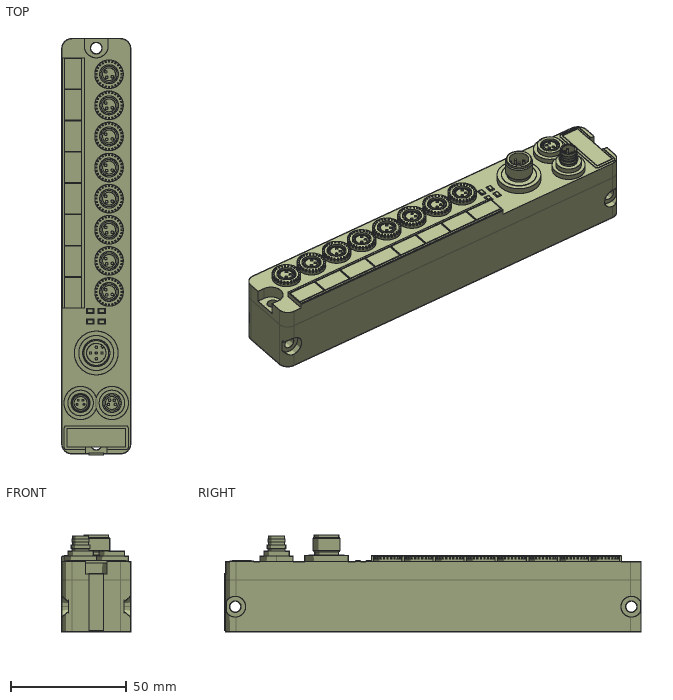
import cadquery as cq
import math

width = 30.0
length = 180.33
height = 30.5
corner_radius = 4.5
seam_height = 22.4
total_height = 42.1
overlap = 0.5
clearance = 1.0

half_width = width / 2
half_length = length / 2

hole_inset = 4.2
hole_y = half_length - hole_inset
top_hole_diameter = 4.9
notch_inset = 3.2
notch_floor = 25.0
far_notch_width = 10.4
near_notch_width = 9.4
side_hole_diameter = 4.8
side_hole_height = 10.9
side_bore_diameter = 9.0
side_bore_depth = 2.9

tab_width = 6.3
tab_proud = 0.5
tab_back = 0.4
tab_bottom = 0.5
tab_top = 25.2

plate_far_y = -77.95
plate_near_y = -88.3
plate_half_width = 13.9
plate_rim = 1.1
plate_corner_radius = 1.0
plate_rim_top = height + 0.25
plate_top = height + 0.45
plate_underside = 29.8

port_count = 8
port_pitch = 13.5
port_x = 5.55
first_port_y = 74.65
strip_end_margin = 0.3
strip_length = port_count * port_pitch + 2 * strip_end_margin
strip_center_y = first_port_y - (port_count - 1) * port_pitch / 2
strip_right_x = -5.2
strip_top = 32.8
strip_edge_chamfer = 0.3
label_left_x = -13.8
label_right_x = -6.3
label_gap = 0.3
label_top = 33.1

port_radius = 6.2
port_face_radius = 5.3
port_top = 32.7
knurl_count = 24
knurl_width = 0.45
knurl_depth = 1.0
socket_radius = 4.1
socket_depth = 5.0
socket_ledge_radius = 3.5
socket_ledge_depth = 1.0
insert_radius = 2.8
insert_recess = 0.4
contact_hole_diameter = 1.1
contact_hole_depth = 4.0
three_contacts = [(-1.4, 1.0), (1.4, -1.1), (-1.0, -1.3)]
four_contacts = [(-1.5, -0.6), (1.5, -0.6), (-1.0, 1.2), (1.0, 1.2)]

light_columns = (-2.6, 2.4)
light_rows = (-28.1, -32.7)
light_width = 3.2
light_length = 2.3
light_rise = 0.5
light_chamfer = 0.4

power_y = -46.35
power_flange_radius = 9.5
power_seat_radius = 7.6
power_flange_top = 33.2
power_seat_top = 33.4
power_neck_radius = 5.2
power_shell_radius = 5.9
power_tip_radius = 5.4
power_shell_bottom = 35.3
power_shell_chamfer = power_shell_radius - power_neck_radius
power_shell_top = 40.5
power_bore_radius = 4.2
power_bore_floor = 34.0
power_key_width = 1.0
power_key_length = 0.8
power_key_angle = 45.0
power_pin_radius = 0.5
power_outer_pin_count = 4
power_pin_circle = 2.5
power_pin_top = 40.0

bus_x = 6.8
bus_y = -68.05
bus_flange_radius = 7.2
bus_collar_radius = 5.55
bus_flange_top = 32.8
bus_collar_top = 35.0
bus_plug_top = 41.6
bus_neck_radius = 3.5
bus_thread_radius = 4.1
bus_ring_radius = 3.75
bus_thread_span = (36.2, 37.7)
bus_ring_span = (39.0, 40.2)
bus_foot_top = 35.9
bus_bore_radius = 2.8
bus_bore_floor = 36.0
bus_pin_radius = 0.4
bus_pin_top = 40.5


def block(x_min, x_max, y_min, y_max, z_min, z_max):
    """Axis-aligned box between two corners."""
    size = (x_max - x_min, y_max - y_min, z_max - z_min)
    return cq.Workplane("XY").box(*size, centered=False).translate((x_min, y_min, z_min))


def disc(radius, z_min, z_max, x=0.0, y=0.0):
    """Upright cylinder between two heights."""
    plane = cq.Workplane("XY").workplane(offset=z_min).center(x, y)
    return plane.circle(radius).extrude(z_max - z_min)


def rounded_slab(z_min, z_max):
    """Housing outline between two heights."""
    slab = block(-half_width, half_width, -half_length, half_length, z_min, z_max)
    return slab.edges("|Z").fillet(corner_radius)


def end_notch(end, notch_width):
    """Round-bottomed notch over a mounting hole, open at the end face and the top."""
    radius = notch_width / 2
    center_y = end * (half_length - notch_inset)
    round_part = disc(radius, notch_floor, total_height, y=center_y)
    y_inner, y_outer = sorted((center_y, end * (half_length + clearance)))
    open_part = block(-radius, radius, y_inner, y_outer, notch_floor, total_height)
    return round_part.union(open_part)


def name_plate():
    """Raised rim with a slightly higher plate inside it."""
    rim = block(-plate_half_width, plate_half_width, plate_near_y, plate_far_y,
                height - overlap, plate_rim_top)
    rim = rim.edges("|Z").fillet(plate_corner_radius)
    inner_half_width = plate_half_width - plate_rim
    field = block(-inner_half_width, inner_half_width, plate_near_y + plate_rim,
                  plate_far_y - plate_rim, plate_underside, plate_top)
    return rim, field


def end_tab():
    return block(-tab_width / 2, tab_width / 2, -half_length - tab_proud,
                 -half_length + tab_back, tab_bottom, tab_top)


def mounting_holes():
    """Vertical and crosswise holes at both ends, the latter counterbored on both sides."""
    cutters = []
    for end in (-1, 1):
        y = end * hole_y
        cutters.append(disc(top_hole_diameter / 2, -clearance, total_height, y=y))
        side_plane = cq.Workplane("YZ").center(y, side_hole_height)
        cutters.append(side_plane.circle(side_hole_diameter / 2).extrude(half_width + clearance, both=True))
        for side in (-1, 1):
            floor_x = side * (half_width - side_bore_depth)
            bore = cq.Workplane("YZ").workplane(offset=floor_x).center(y, side_hole_height)
            cutters.append(bore.circle(side_bore_diameter / 2).extrude(side * (side_bore_depth + clearance)))
    return cutters


def label_strip():
    """Raised strip along the -X edge carrying one label per port."""
    y_min = strip_center_y - strip_length / 2
    y_max = strip_center_y + strip_length / 2
    strip = block(-half_width, strip_right_x, y_min, y_max, height - overlap, strip_top)
    strip = strip.edges("|Y and <X and >Z").chamfer(strip_edge_chamfer)
    label_pitch = strip_length / port_count
    for index in range(port_count):
        y_low = y_min + index * label_pitch + label_gap / 2
        y_high = y_low + label_pitch - label_gap
        strip = strip.union(block(label_left_x, label_right_x, y_low, y_high,
                                  strip_top - overlap, label_top))
    return strip


def socket_opening(top, contacts):
    """Stepped ring-shaped opening around a contact insert with its contact holes."""
    opening = disc(socket_ledge_radius, top - socket_depth, top)
    mouth = disc(socket_radius, top - socket_ledge_depth, top)
    insert = disc(insert_radius, top - socket_depth, top - insert_recess)
    holes = cq.Workplane("XY").workplane(offset=top).pushPoints(contacts)
    holes = holes.circle(contact_hole_diameter / 2).extrude(-contact_hole_depth)
    return opening.union(mouth).cut(insert).union(holes)


def io_port():
    """Round M8 shell with a knurled rim."""
    shell = disc(port_radius, height - overlap, port_top)
    knurl_center = (port_radius + port_face_radius) / 2
    knurl_length = port_radius - port_face_radius + overlap
    grooves = cq.Workplane("XY").workplane(offset=port_top)
    grooves = grooves.polarArray(knurl_center + overlap / 2, 0, 360, knurl_count)
    grooves = grooves.rect(knurl_length, knurl_width).extrude(-knurl_depth)
    return shell.cut(grooves)


def status_lights():
    lights = []
    for x in light_columns:
        for y in light_rows:
            light = block(x - light_width / 2, x + light_width / 2, y - light_length / 2,
                          y + light_length / 2, height - overlap, height + light_rise)
            lights.append(light.faces(">Z").edges().chamfer(light_chamfer))
    return lights


def power_plug():
    """M12 plug with five pins, about its own axis."""
    profile = [
        (0, height - overlap),
        (power_flange_radius, height - overlap),
        (power_flange_radius, power_flange_top),
        (power_seat_radius, power_flange_top),
        (power_seat_radius, power_seat_top),
        (power_neck_radius, power_seat_top),
        (power_neck_radius, power_shell_bottom - power_shell_chamfer),
        (power_shell_radius, power_shell_bottom),
        (power_shell_radius, power_shell_top),
        (power_tip_radius, power_shell_top + power_shell_radius - power_tip_radius),
        (power_tip_radius, total_height),
        (0, total_height),
    ]
    plug = cq.Workplane("XZ").polyline(profile).close().revolve(360, (0, 0), (0, 1))
    plug = plug.cut(disc(power_bore_radius, power_bore_floor, total_height))
    key = block(power_bore_radius - power_key_length, power_bore_radius + overlap,
                -power_key_width / 2, power_key_width / 2, power_bore_floor - overlap, power_pin_top)
    plug = plug.union(key.rotate((0, 0, 0), (0, 0, 1), power_key_angle))
    pin_places = [(0, 0)]
    for index in range(power_outer_pin_count):
        angle = index * 2 * math.pi / power_outer_pin_count
        pin_places.append((power_pin_circle * math.cos(angle), power_pin_circle * math.sin(angle)))
    for x, y in pin_places:
        plug = plug.union(disc(power_pin_radius, power_bore_floor - overlap, power_pin_top, x, y))
    return plug


def bus_body():
    """Flange and collar shared by both bus connectors."""
    flange = disc(bus_flange_radius, height - overlap, bus_flange_top)
    return flange.union(disc(bus_collar_radius, height - overlap, bus_collar_top))


def bus_plug():
    """Four-pin M8 plug with a thread and a snap ring, about its own axis."""
    plug = bus_body()
    plug = plug.union(disc(bus_neck_radius, bus_collar_top - overlap, bus_plug_top))
    plug = plug.union(disc(bus_ring_radius, bus_collar_top - overlap, bus_foot_top))
    plug = plug.union(disc(bus_thread_radius, *bus_thread_span))
    plug = plug.union(disc(bus_ring_radius, *bus_ring_span))
    plug = plug.cut(disc(bus_bore_radius, bus_bore_floor, bus_plug_top))
    for x, y in four_contacts:
        plug = plug.union(disc(bus_pin_radius, bus_bore_floor - overlap, bus_pin_top, x, y))
    return plug


def housing():
    """Base and cover, with the seam between them left as an edge."""
    base = rounded_slab(0, seam_height)
    cover = rounded_slab(seam_height, height).union(label_strip())
    return base.union(cover, clean=False)


def assemble():
    body = housing()

    plate_rim_body, plate_field = name_plate()
    body = body.union(plate_rim_body, clean=False)
    body = body.cut(end_notch(-1, near_notch_width), clean=False)
    body = body.cut(end_notch(1, far_notch_width), clean=False)
    body = body.union(end_tab(), clean=False)
    for cutter in mounting_holes():
        body = body.cut(cutter, clean=False)
    body = body.union(plate_field, clean=False)

    for light in status_lights():
        body = body.union(light, clean=False)

    port = io_port()
    opening = socket_opening(port_top, three_contacts)
    for index in range(port_count):
        place = (port_x, first_port_y - index * port_pitch, 0)
        body = body.union(port.translate(place), clean=False)
        body = body.cut(opening.translate(place), clean=False)

    body = body.union(power_plug().translate((0, power_y, 0)), clean=False)
    body = body.union(bus_body().translate((bus_x, bus_y, 0)), clean=False)
    bus_opening = socket_opening(bus_collar_top, four_contacts)
    body = body.cut(bus_opening.translate((bus_x, bus_y, 0)), clean=False)
    return body.union(bus_plug().translate((-bus_x, bus_y, 0)), clean=False)


result = assemble()